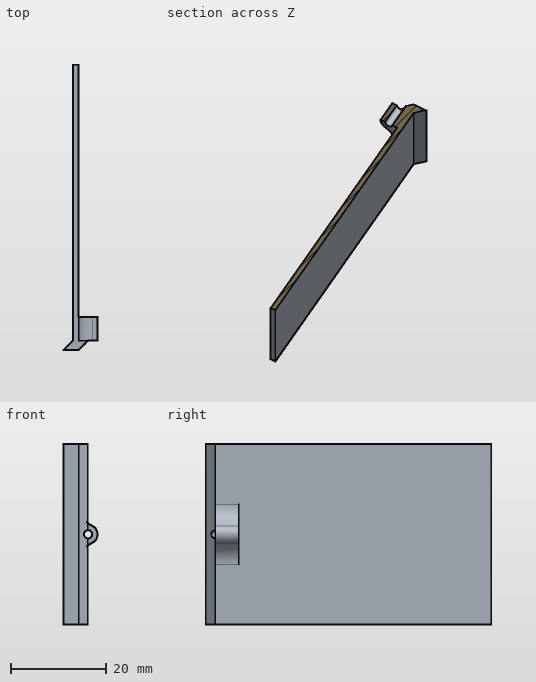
import cadquery as cq
import math

length = 60.0
height = 38.0
plate_thickness = 1.2
lip_offset = 2.0
knuckle_radius = 2.01
knuckle_length = 5.0
fillet_radius = 5.0
hole_diameter = 1.7

plate_back = lip_offset + plate_thickness
hole_x = plate_back + knuckle_radius


def make_plate_with_lip():
    """Extrude the plate and its slanted lip over the full height."""
    outline = [
        (0, 0),
        (plate_back, 0),
        (plate_back + lip_offset, lip_offset),
        (plate_back, lip_offset),
        (plate_back, length),
        (lip_offset, length),
        (lip_offset, lip_offset),
    ]
    return cq.Workplane("XY").polyline(outline).close().extrude(height / 2, both=True)


def make_knuckle():
    """Round nose blended tangentially into the back of the plate."""
    center_distance = knuckle_radius + fillet_radius
    blend_x = plate_back + fillet_radius
    blend_z = math.sqrt(center_distance**2 - (blend_x - hole_x) ** 2)
    nose_angle = math.atan2(blend_z, blend_x - hole_x)
    tangent_x = hole_x + knuckle_radius * math.cos(nose_angle)
    tangent_z = knuckle_radius * math.sin(nose_angle)

    blend_angle = (nose_angle + math.pi + math.pi) / 2
    middle_x = blend_x + fillet_radius * math.cos(blend_angle)
    middle_z = blend_z + fillet_radius * math.sin(blend_angle)

    root_x = plate_back - plate_thickness / 2
    return (
        cq.Workplane("XZ", origin=(0, lip_offset, 0))
        .moveTo(root_x, -blend_z)
        .lineTo(plate_back, -blend_z)
        .threePointArc((middle_x, -middle_z), (tangent_x, -tangent_z))
        .threePointArc((hole_x + knuckle_radius, 0), (tangent_x, tangent_z))
        .threePointArc((middle_x, middle_z), (plate_back, blend_z))
        .lineTo(root_x, blend_z)
        .close()
        .extrude(-knuckle_length)
    )


def make_pin_hole():
    """Cylinder running along Y through the lip and the knuckle."""
    return (
        cq.Workplane("XZ")
        .center(hole_x, 0)
        .circle(hole_diameter / 2)
        .extrude(-(lip_offset + knuckle_length))
    )


result = make_plate_with_lip().union(make_knuckle()).cut(make_pin_hole())